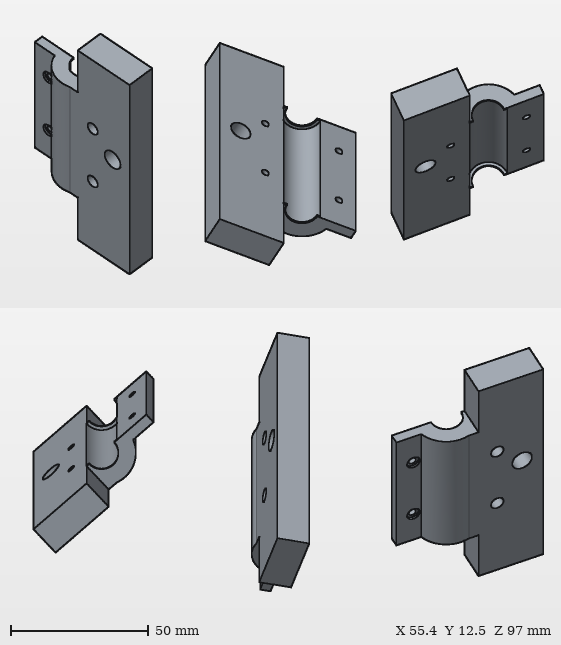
import cadquery as cq

block_height = 97.0
block_depth = 12.0
block_left = 29.3
total_width = 55.4

housing_height = 54.0
housing_radius = 12.5
bore_center_x = 21.9
bore_radius = 7.5
flange_depth = 4.0

lip_radius = 6.1
lip_thickness = 0.8

screw_diameter = 2.8
screw_head_diameter = 5.0
screw_left_x = 6.9
screw_spacing_x = 30.0
screw_spacing_z = 27.0
screw_seat_thickness = 3.0

cross_hole_diameter = 8.0
cross_hole_x = 46.85
cross_hole_z = 4.5


def box(x_start, x_end, depth, height):
    """Box from the back plane toward -Y, centred on Z = 0."""
    return (
        cq.Workplane("XY")
        .box(x_end - x_start, depth, height, centered=(False, False, True))
        .translate((x_start, -depth, 0))
    )


def upright_cylinder(radius, height):
    """Cylinder on the bore axis."""
    return (
        cq.Workplane("XY", origin=(bore_center_x, 0, -height / 2))
        .circle(radius)
        .extrude(height)
    )


def drill(x, z, diameter, back_y=0):
    """Cutter from back_y out past the front of the part, along -Y."""
    return (
        cq.Workplane("XZ", origin=(x, back_y, z))
        .circle(diameter / 2)
        .extrude(housing_radius)
    )


def make_body():
    front_half = box(0, total_width, housing_radius, housing_height)
    housing = upright_cylinder(housing_radius, housing_height).intersect(front_half)
    flange = box(0, bore_center_x, flange_depth, housing_height)
    web = box(bore_center_x, block_left, block_depth, housing_height)
    block = box(block_left, total_width, block_depth, block_height)
    return block.union(web).union(flange).union(housing)


def cut_bore(body):
    """Cut the narrow opening right through, then the wider bore between the lips."""
    body = body.cut(upright_cylinder(lip_radius, housing_height))
    return body.cut(upright_cylinder(bore_radius, housing_height - 2 * lip_thickness))


def cut_holes(body):
    for x in (screw_left_x, screw_left_x + screw_spacing_x):
        for z in (-screw_spacing_z / 2, screw_spacing_z / 2):
            body = body.cut(drill(x, z, screw_diameter))
            body = body.cut(drill(x, z, screw_head_diameter, -screw_seat_thickness))
    return body.cut(drill(cross_hole_x, cross_hole_z, cross_hole_diameter))


result = cut_holes(cut_bore(make_body()))